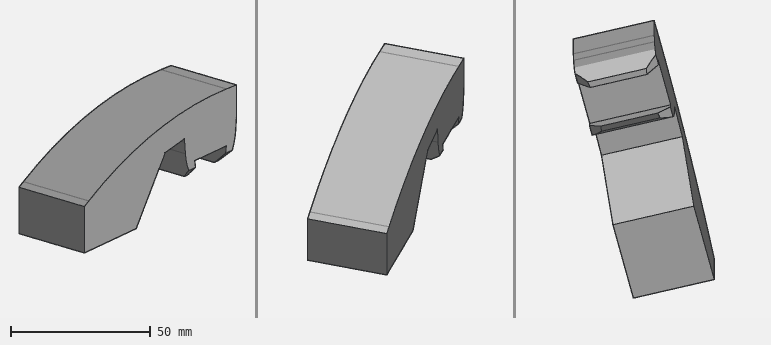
import cadquery as cq
import math

length = 88.0
width = 30.0
height = 37.8

crown_radius = 154.0
crest_setback = 12.3
back_flat = 5.9
front_flat = 2.55

foot_length = 30.0
knee_setback = 41.2
knee_height = 24.2
arm_root_height = 26.05

side_taper_start = 24.6
side_curve_start = 20.1
side_curve_inset = 0.4
side_curve_bulge = 0.9
claw_tip_inset = 4.9
claw_outer_height = 8.8
claw_tip_height = 8.45
slot_roof_height = 15.7
slot_roof_inset = 5.9
slot_mouth_inset = 7.1
claw_bevel_height = 12.9

back = length / 2
front = -length / 2
clip_front = back - width


def crown_point(y):
    """Point on the crown arc at the given Y."""
    offset = y - (back - crest_setback)
    return y, height - crown_radius + math.sqrt(crown_radius**2 - offset**2)


def tangent_end(y_tangent, y_end):
    """End of the straight line that leaves the crown arc tangentially."""
    y, z = crown_point(y_tangent)
    offset = y - (back - crest_setback)
    slope = -offset / math.sqrt(crown_radius**2 - offset**2)
    return y_end, z + slope * (y_end - y)


def make_body():
    """Extrude the full side profile across the width."""
    arc_back = back - back_flat
    arc_front = front + front_flat
    profile = (
        cq.Workplane("YZ", origin=(-width / 2, 0, 0))
        .moveTo(*tangent_end(arc_back, back))
        .lineTo(*crown_point(arc_back))
        .threePointArc(crown_point((arc_back + arc_front) / 2), crown_point(arc_front))
        .lineTo(*tangent_end(arc_front, front))
        .lineTo(front, 0)
        .lineTo(front + foot_length, 0)
        .lineTo(back - knee_setback, knee_height)
        .lineTo(clip_front, arm_root_height)
        .lineTo(clip_front, side_taper_start)
        .lineTo(clip_front + side_curve_inset, side_curve_start)
        .sagittaArc((clip_front + claw_tip_inset, claw_outer_height), -side_curve_bulge)
        .lineTo(clip_front + slot_mouth_inset, claw_tip_height)
        .lineTo(clip_front + slot_roof_inset, slot_roof_height)
        .lineTo(back - slot_roof_inset, slot_roof_height)
        .lineTo(back - slot_mouth_inset, claw_tip_height)
        .lineTo(back - claw_tip_inset, claw_outer_height)
        .sagittaArc((back - side_curve_inset, side_curve_start), -side_curve_bulge)
        .lineTo(back, side_taper_start)
        .close()
    )
    return profile.extrude(width)


def make_claw_bevel(side):
    """45-degree wedge removed from both claws at one X end (side is -1 or 1)."""
    end = side * width / 2
    return (
        cq.Workplane("XZ", origin=(0, back, 0))
        .moveTo(end, claw_bevel_height)
        .lineTo(end, 0)
        .lineTo(end - side * claw_bevel_height, 0)
        .close()
        .extrude(width)
    )


result = make_body()
for end_side in (-1, 1):
    result = result.cut(make_claw_bevel(end_side))